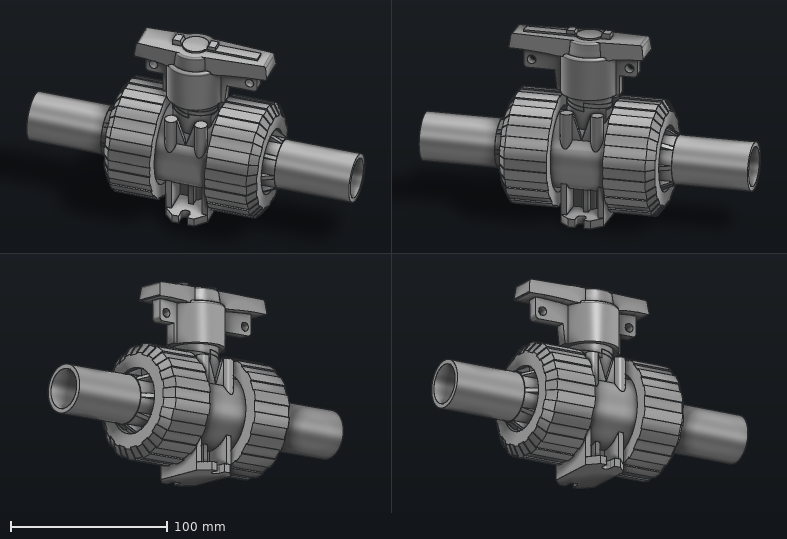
import cadquery as cq
import math


overall_length = 218.0
pipe_outer_radius = 16.0
pipe_inner_radius = 13.0
ball_bore_radius = 12.5

nut_inner_x = 18.6
nut_outer_x = 51.6
nut_ridge_radius = 37.768
nut_ridge_height = 1.0
nut_ridge_count = 16
nut_chamfer_length = 4.8
nut_chamfer_depth = 6.6
nut_mouth_radius = 28.0
nut_lip_radius = 21.5
nut_lip_thickness = 5.6

neck_radius = 16.5
neck_end_x = 58.7
tail_flange_length = 6.0
rib_count = 8
rib_width = 2.8
rib_slope = 0.47
flange_outer_x = nut_outer_x - nut_lip_thickness
body_end_x = flange_outer_x - tail_flange_length

barrel_radius = 25.0
thread_start_x = 30.0
collar_radius = 15.0
stem_flat_half_x = 12.9
collar_bottom_z = 32.1
hub_bottom_z = 41.4
ramp_count = 4
ramp_top_z = 38.2
ramp_drop = 3.1
ramp_band_height = 2.9
ramp_depth = 0.3
post_radius = 4.15
post_x = 10.1
post_y = 19.3
web_outer_y = 20.4
web_thickness = 2.5
notch_half_width = 5.9
notch_bottom_z = 14.5

foot_bottom_z = -43.48
foot_top_z = -38.0
foot_half_x = 14.2
foot_half_y = 25.4
foot_side_half_y = 18.3
foot_front_half_x = 7.4
foot_slot_width = 6.0
foot_slot_center_y = 20.5
side_plate_thickness = 3.9
cross_plate_thickness = 3.0
center_rib_thickness = 3.3
center_rib_half_y = 9.8
center_post_radius = 5.0

hub_radius = 18.8
hub_top_z = 69.4
hub_round = 1.8
cone_bottom_radius = 16.1
cone_top_radius = 14.7
cone_round = 1.4
grip_left_x = -38.6
grip_right_x = 51.5
grip_left_half_y = 10.8
grip_right_half_y = 9.8
grip_middle_half_y = 13.1
grip_flat_left_x = -28.9
grip_flat_right_x = 38.0
grip_shoulder_right_x = 24.6
grip_middle_z = 67.5
grip_shoulder_z = 68.2
grip_end_z = 69.0
grip_top_z = 78.8
grip_draft = 7.5
grip_end_round = 1.6
grip_edge_break = 0.9
cap_radius = 8.6
cap_top_z = 80.0
strip_width = 7.2
strip_end_x = 43.0
tab_width = 7.0
tab_inner_x = 9.3
tab_outer_x = 14.4
tab_foot_x = 8.0
tab_top_z = 82.45

plate_thickness = 7.4
plate_left_x = -32.6
plate_right_x = 42.8
plate_bottom_z = 54.6
plate_corner_round = 2.4
skirt_left_x = -20.9
skirt_right_x = 20.8
skirt_right_top_x = 22.3
lock_hole_radius = 2.85
lock_hole_z = 60.3
lock_hole_left_x = -27.3
lock_hole_right_x = 37.6


def x_cylinder(radius, x_start, x_end):
    return cq.Workplane("YZ").workplane(offset=x_start).circle(radius).extrude(x_end - x_start)


def z_cylinder(radius, z_start, z_end):
    return cq.Workplane("XY").workplane(offset=z_start).circle(radius).extrude(z_end - z_start)


def box(x_start, x_end, y_start, y_end, z_start, z_end):
    block = cq.Workplane("XY").box(x_end - x_start, y_end - y_start, z_end - z_start, centered=False)
    return block.translate((x_start, y_start, z_start))


def turned_to_left(solid):
    """Right-hand body turned half a revolution about Z to the left side."""
    return solid.rotate((0, 0, 0), (0, 0, 1), 180)


def nut_profile(outer_radius):
    """Solid of revolution about X with a conical outer end."""
    return (
        cq.Workplane("XY")
        .moveTo(nut_inner_x, 0)
        .lineTo(nut_inner_x, outer_radius)
        .lineTo(nut_outer_x - nut_chamfer_length, outer_radius)
        .lineTo(nut_outer_x, outer_radius - nut_chamfer_depth)
        .lineTo(nut_outer_x, 0)
        .close()
        .revolve(360, (0, 0, 0), (1, 0, 0))
    )


def make_nut():
    """Union nut for the +X side, gripped by radial ridges."""
    pitch = 360 / nut_ridge_count
    half_angle = math.radians(pitch / 4)
    reach = 2 * nut_ridge_radius
    sectors = (
        cq.Workplane("YZ")
        .workplane(offset=nut_inner_x)
        .polyline([
            (0, 0),
            (reach * math.cos(half_angle), -reach * math.sin(half_angle)),
            (reach * math.cos(half_angle), reach * math.sin(half_angle)),
        ])
        .close()
        .extrude(nut_outer_x - nut_inner_x)
    )
    ridge = nut_profile(nut_ridge_radius).intersect(sectors)
    nut = nut_profile(nut_ridge_radius - nut_ridge_height)
    for index in range(nut_ridge_count):
        nut = nut.union(ridge.rotate((0, 0, 0), (1, 0, 0), (index + 0.5) * pitch))
    nut = nut.cut(x_cylinder(nut_lip_radius, nut_inner_x, nut_outer_x))
    return nut.cut(x_cylinder(nut_mouth_radius, nut_inner_x, flange_outer_x))


def make_tail():
    """Pipe connector for the +X side, held by its flange behind the nut lip."""
    pipe_end_x = overall_length / 2
    tail = x_cylinder(pipe_outer_radius, body_end_x, pipe_end_x)
    tail = tail.union(x_cylinder(neck_radius, body_end_x, neck_end_x))
    tail = tail.union(x_cylinder(nut_mouth_radius, body_end_x, flange_outer_x))
    rib_top_x = neck_end_x - (nut_lip_radius - neck_radius) / rib_slope
    rib = (
        cq.Workplane("XZ")
        .moveTo(body_end_x, pipe_inner_radius)
        .lineTo(neck_end_x, pipe_inner_radius)
        .lineTo(neck_end_x, neck_radius)
        .lineTo(rib_top_x, nut_lip_radius)
        .lineTo(body_end_x, nut_lip_radius)
        .close()
        .extrude(rib_width / 2, both=True)
        .intersect(x_cylinder(nut_lip_radius, body_end_x, neck_end_x))
    )
    for index in range(rib_count):
        tail = tail.union(rib.rotate((0, 0, 0), (1, 0, 0), index * 360 / rib_count))
    return tail.cut(x_cylinder(pipe_inner_radius, body_end_x, pipe_end_x))


def make_stem():
    """Stem flattened on its X sides, below a round collar with sloping grooves around it."""
    flat_x = stem_flat_half_x
    stem = z_cylinder(collar_radius, 0, collar_bottom_z)
    stem = stem.intersect(box(-flat_x, flat_x, -collar_radius, collar_radius, 0, collar_bottom_z))
    collar = z_cylinder(collar_radius, collar_bottom_z, hub_bottom_z)
    half_chord = collar_radius * math.sin(math.pi / ramp_count)
    ramp_end_z = ramp_top_z - ramp_drop
    band = (
        cq.Workplane("XZ")
        .polyline([
            (-half_chord, ramp_top_z),
            (half_chord, ramp_end_z),
            (half_chord, ramp_end_z - ramp_band_height),
            (-half_chord, ramp_top_z - ramp_band_height),
        ])
        .close()
        .extrude(collar_radius)
        .cut(z_cylinder(collar_radius - ramp_depth, collar_bottom_z, hub_bottom_z))
    )
    for index in range(ramp_count):
        angle = (index + 0.5) * 360 / ramp_count
        collar = collar.cut(band.rotate((0, 0, 0), (0, 0, 1), angle))
    return stem.union(collar)


def make_post_webs():
    """Webs joining the posts of each side, each split by a V notch down to the barrel."""
    web_inner_y = web_outer_y - web_thickness
    webs = box(-post_x, post_x, -web_outer_y, web_outer_y, 0, collar_bottom_z)
    webs = webs.cut(box(-post_x, post_x, -web_inner_y, web_inner_y, 0, collar_bottom_z))
    notch = (
        cq.Workplane("XZ")
        .polyline([
            (0, notch_bottom_z),
            (notch_half_width, collar_bottom_z),
            (-notch_half_width, collar_bottom_z),
        ])
        .close()
        .extrude(web_outer_y, both=True)
    )
    return webs.cut(notch)


def make_foot():
    """Mounting foot: slotted flange, two side plates and a cross-shaped core."""
    flange = (
        cq.Workplane("XY")
        .workplane(offset=foot_bottom_z)
        .polyline([
            (foot_front_half_x, -foot_half_y),
            (foot_half_x, -foot_side_half_y),
            (foot_half_x, foot_side_half_y),
            (foot_front_half_x, foot_half_y),
            (-foot_front_half_x, foot_half_y),
            (-foot_half_x, foot_side_half_y),
            (-foot_half_x, -foot_side_half_y),
            (-foot_front_half_x, -foot_half_y),
        ])
        .close()
        .extrude(foot_top_z - foot_bottom_z)
    )
    slot_length = 2 * (foot_half_y - foot_slot_center_y) + foot_slot_width
    slots = (
        cq.Workplane("XY")
        .workplane(offset=foot_bottom_z)
        .pushPoints([(0, foot_half_y), (0, -foot_half_y)])
        .slot2D(slot_length, foot_slot_width, 90)
        .extrude(foot_top_z - foot_bottom_z)
    )
    foot = flange.cut(slots)
    plate_inner_x = foot_half_x - side_plate_thickness
    for x_start in (-foot_half_x, plate_inner_x):
        x_end = x_start + side_plate_thickness
        foot = foot.union(box(x_start, x_end, -foot_side_half_y, foot_side_half_y, foot_top_z, 0))
    half_cross = cross_plate_thickness / 2
    half_rib = center_rib_thickness / 2
    foot = foot.union(box(-plate_inner_x, plate_inner_x, -half_cross, half_cross, foot_top_z, 0))
    foot = foot.union(box(-half_rib, half_rib, -center_rib_half_y, center_rib_half_y, foot_top_z, 0))
    return foot.union(z_cylinder(center_post_radius, foot_top_z, 0))


def make_body():
    """Valve barrel with threaded ends, stem collar, guard posts and foot."""
    body = x_cylinder(barrel_radius, -body_end_x, body_end_x)
    for x_start, x_end in ((-body_end_x, -thread_start_x), (thread_start_x, body_end_x)):
        body = body.union(x_cylinder(nut_mouth_radius, x_start, x_end))
    body = body.union(make_stem())
    body = body.union(make_post_webs())
    for x_side in (-1, 1):
        for y_side in (-1, 1):
            post = z_cylinder(post_radius, 0, collar_bottom_z)
            body = body.union(post.translate((x_side * post_x, y_side * post_y, 0)))
    body = body.union(make_foot())
    return body.cut(x_cylinder(ball_bore_radius, -body_end_x, body_end_x))


def make_grip():
    """Tapered grip bar, trimmed to its stepped underside and rounded at both top ends."""
    bar = (
        cq.Workplane("XY")
        .workplane(offset=grip_middle_z)
        .polyline([
            (grip_left_x, -grip_left_half_y),
            (0, -grip_middle_half_y),
            (grip_right_x, -grip_right_half_y),
            (grip_right_x, grip_right_half_y),
            (0, grip_middle_half_y),
            (grip_left_x, grip_left_half_y),
        ])
        .close()
        .extrude(grip_top_z - grip_middle_z, taper=grip_draft)
    )
    bar = bar.edges(">Z").edges("|Y").fillet(grip_end_round)
    side_outline = (
        cq.Workplane("XZ")
        .moveTo(grip_left_x, grip_top_z)
        .lineTo(grip_left_x, grip_end_z + grip_edge_break)
        .lineTo(grip_left_x + grip_edge_break, grip_end_z)
        .lineTo(grip_flat_left_x, grip_end_z)
        .lineTo(-hub_radius, grip_shoulder_z)
        .lineTo(-cone_bottom_radius, grip_middle_z)
        .lineTo(hub_radius, grip_middle_z)
        .lineTo(grip_shoulder_right_x, grip_shoulder_z)
        .lineTo(grip_flat_right_x, grip_end_z)
        .lineTo(grip_right_x - grip_edge_break, grip_end_z)
        .lineTo(grip_right_x, grip_end_z + grip_edge_break)
        .lineTo(grip_right_x, grip_top_z)
        .close()
        .extrude(hub_radius, both=True)
    )
    return bar.intersect(side_outline)


def make_hub():
    """Round hub: cylinder below, cone above, both with rounded top edges."""
    hub = z_cylinder(hub_radius, hub_bottom_z, hub_top_z).faces(">Z").edges().fillet(hub_round)
    cone = (
        cq.Workplane("XZ")
        .moveTo(0, hub_top_z - hub_round)
        .lineTo(cone_bottom_radius, hub_top_z - hub_round)
        .lineTo(cone_bottom_radius, hub_top_z)
        .lineTo(cone_top_radius, grip_top_z)
        .lineTo(0, grip_top_z)
        .close()
        .revolve(360, (0, 0, 0), (0, 1, 0))
        .faces(">Z")
        .edges()
        .fillet(cone_round)
    )
    return hub.union(cone)


def make_lock_plate():
    """Upright plate through the hub with a padlock hole at each end."""
    half_thickness = plate_thickness / 2
    plate = box(plate_left_x, plate_right_x, -half_thickness, half_thickness, plate_bottom_z, grip_end_z)
    plate = plate.edges("|Y and <Z").fillet(plate_corner_round)
    skirt = (
        cq.Workplane("XZ")
        .polyline([
            (skirt_left_x, hub_bottom_z),
            (skirt_right_x, hub_bottom_z),
            (skirt_right_top_x, plate_bottom_z),
            (skirt_right_top_x, grip_end_z),
            (skirt_left_x, grip_end_z),
        ])
        .close()
        .extrude(half_thickness, both=True)
    )
    holes = (
        cq.Workplane("XZ")
        .pushPoints([(lock_hole_left_x, lock_hole_z), (lock_hole_right_x, lock_hole_z)])
        .circle(lock_hole_radius)
        .extrude(half_thickness, both=True)
    )
    return plate.union(skirt).cut(holes)


def make_tab(side):
    """Pointer tab on top of the grip with a sloped inner face."""
    return (
        cq.Workplane("XZ")
        .polyline([
            (side * tab_foot_x, grip_top_z),
            (side * tab_outer_x, grip_top_z),
            (side * tab_outer_x, tab_top_z),
            (side * tab_inner_x, tab_top_z),
        ])
        .close()
        .extrude(tab_width / 2, both=True)
    )


def make_handle():
    """Operating handle: grip, hub, locking plate and raised indicator."""
    handle = make_grip().union(make_hub()).union(make_lock_plate())
    handle = handle.union(z_cylinder(cap_radius, grip_top_z, cap_top_z))
    half_strip = strip_width / 2
    handle = handle.union(box(0, strip_end_x, -half_strip, half_strip, grip_top_z, cap_top_z))
    for side in (-1, 1):
        handle = handle.union(make_tab(side))
    return handle


body = make_body()
nuts = [make_nut(), turned_to_left(make_nut())]
tails = [make_tail(), turned_to_left(make_tail())]
handle = make_handle()

result = cq.Compound.makeCompound([
    body.val(),
    *[nut.val() for nut in nuts],
    *[tail.val() for tail in tails],
    handle.val(),
])